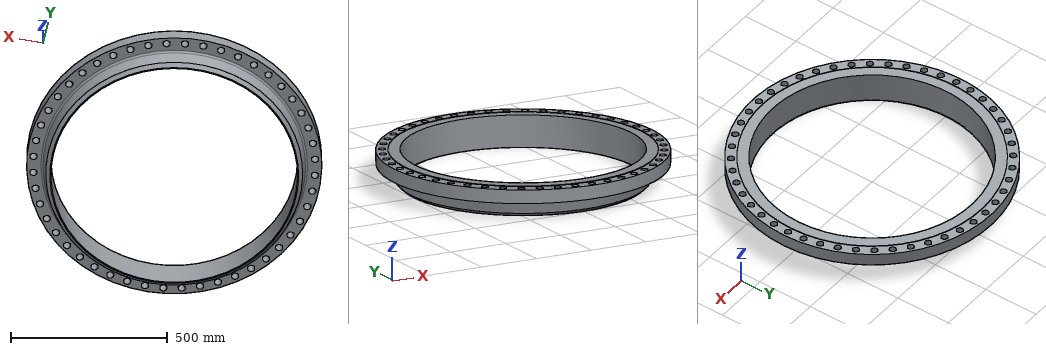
import cadquery as cq
import math

outer_diameter = 941.0
total_height = 108.0
bore_diameter = 786.0

raised_face_diameter = 863.0
raised_face_height = 2.0
plate_thickness = 45.0

hub_top_diameter = 840.0
hub_bottom_diameter = 819.0
bevel_height = 11.0
weld_land_width = 4.0
root_fillet_radius = 7.0

bolt_count = 48
bolt_circle_diameter = 900.0
bolt_hole_diameter = 23.0

plate_top = total_height - raised_face_height
plate_bottom = plate_top - plate_thickness


def make_ring_body():
    """Revolve the half section about Z, without the root fillet."""
    bore_radius = bore_diameter / 2
    section = (
        cq.Workplane("XZ")
        .moveTo(bore_radius, 0)
        .lineTo(bore_radius + weld_land_width, 0)
        .lineTo(hub_bottom_diameter / 2, bevel_height)
        .lineTo(hub_top_diameter / 2, plate_bottom)
        .lineTo(outer_diameter / 2, plate_bottom)
        .lineTo(outer_diameter / 2, plate_top)
        .lineTo(raised_face_diameter / 2, plate_top)
        .lineTo(raised_face_diameter / 2, total_height)
        .lineTo(bore_radius, total_height)
        .close()
    )
    return section.revolve(360, (0, 0, 0), (0, 1, 0))


def round_hub_root(body):
    """Fillet the inside corner where the hub meets the underside of the plate."""
    hub_circumference = math.pi * hub_top_diameter
    tolerance = 0.1
    root_edges = body.edges().filter(
        lambda edge: edge.geomType() == "CIRCLE"
        and abs(edge.Center().z - plate_bottom) < tolerance
        and abs(edge.Length() - hub_circumference) < tolerance
    )
    return root_edges.fillet(root_fillet_radius)


def make_bolt_holes():
    """Cutters for the ring of bolt holes through the plate."""
    return (
        cq.Workplane("XY", origin=(0, 0, plate_bottom))
        .polarArray(bolt_circle_diameter / 2, 0, 360, bolt_count)
        .circle(bolt_hole_diameter / 2)
        .extrude(plate_thickness)
    )


result = round_hub_root(make_ring_body()).cut(make_bolt_holes())